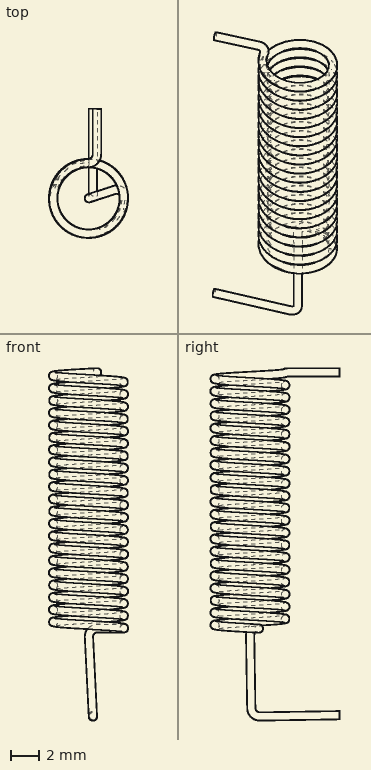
import cadquery as cq
import math

wire_diameter = 0.6
coil_radius = 2.5
coil_height = 18.0
coil_turns = 20.75

bend_radius = 0.6
tight_bend_radius = 0.5
lead_tip_y = 6.32
spoke_angle = 18.0
leg_length = 6.25
leg_tilt = 3.0

shortest_run = 0.001

coil_slope = coil_height / (2 * math.pi * coil_radius * coil_turns)


def sweep_wire(path, start, direction, is_frenet):
    """Round wire swept along a path that leaves `start` in `direction`."""
    section_plane = cq.Plane(origin=start.toTuple(), normal=direction.toTuple())
    section = cq.Workplane(section_plane).circle(wire_diameter / 2)
    return section.sweep(cq.Workplane(path), isFrenet=is_frenet)


def bent_wire(points, radii):
    """Straight runs of wire through the points, bent to the given radius at each inner point."""
    edges = []
    run_start = points[0]
    for before, corner, after, radius in zip(points, points[1:], points[2:], radii):
        direction_in = (corner - before).normalized()
        direction_out = (after - corner).normalized()
        setback = radius * math.tan(direction_in.getAngle(direction_out) / 2)
        bend_start = corner - direction_in * setback
        bend_end = corner + direction_out * setback
        if (bend_start - run_start).Length > shortest_run:
            edges.append(cq.Edge.makeLine(run_start, bend_start))
        edges.append(cq.Edge.makeTangentArc(bend_start, direction_in, bend_end))
        run_start = bend_end
    edges.append(cq.Edge.makeLine(run_start, points[-1]))
    path = cq.Wire.assembleEdges(edges)
    return sweep_wire(path, points[0], points[1] - points[0], is_frenet=False)


def coil():
    """Left-handed helix of round wire, rising from z = 0."""
    pitch = coil_height / coil_turns
    helix = cq.Wire.makeHelix(pitch, coil_height, coil_radius, lefthand=True)
    start = cq.Vector(coil_radius, 0, 0)
    return sweep_wire(helix, start, cq.Vector(0, -1, coil_slope), is_frenet=True)


def top_lead():
    """Leaves the top of the coil along its tangent and turns at once to +Y."""
    coil_end = cq.Vector(0, coil_radius, coil_height)
    tangent = cq.Vector(1, 0, coil_slope).normalized()
    corner = coil_end + tangent * bend_radius
    tip = cq.Vector(corner.x, lead_tip_y, corner.z)
    return bent_wire([coil_end, corner, tip], [bend_radius])


def bottom_lead():
    """Turns inward along a spoke to the coil axis, runs down a leg, then outward to +Y."""
    coil_end = cq.Vector(coil_radius, 0, 0)
    axis_corner = cq.Vector(0, 0, 0)
    spoke_direction = math.radians(spoke_angle)
    tangent = cq.Vector(0, 1, -coil_slope)
    outer_corner = coil_end + tangent * (coil_radius * math.tan(spoke_direction))

    tilt = math.radians(leg_tilt)
    leg = cq.Vector(
        math.sin(tilt) * math.cos(spoke_direction),
        math.sin(tilt) * math.sin(spoke_direction),
        -math.cos(tilt),
    )
    low_corner = axis_corner + leg * leg_length

    tip_run = lead_tip_y - low_corner.y
    tip = low_corner + cq.Vector(0, tip_run, -tip_run * leg.y / leg.z)
    return bent_wire(
        [coil_end, outer_corner, axis_corner, low_corner, tip],
        [tight_bend_radius, bend_radius, bend_radius],
    )


result = coil().union(top_lead()).union(bottom_lead())